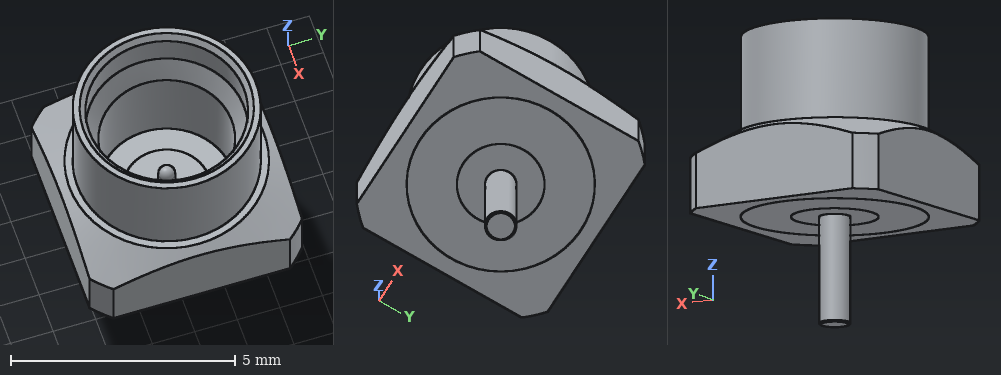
import cadquery as cq

overall_height = 6.55
base_bottom = 2.45
base_top = 4.26
corner_top = 3.715
socket_floor = base_bottom + 0.655

base_width = 5.0
base_corner_diameter = 6.5
base_land_diameter = 4.565

shell_diameter = 4.2
shell_clearance = 0.005
mouth_diameter = 3.89
mouth_chamfer_depth = 0.13
upper_bore_diameter = 3.63
lower_bore_diameter = 3.05
taper_start_depth = 0.885
taper_length = 0.46

insulator_diameter = 1.96
tail_diameter = 0.7
tail_chamfer = 0.03
contact_diameter = 0.38
contact_height = 0.785


def revolve_profile(profile):
    """Turn a closed radius-height profile around the Z axis."""
    return profile.close().revolve(360, (0, 0, 0), (0, 1, 0))


def cylinder(diameter, bottom, top):
    """Upright cylinder on the Z axis between two levels."""
    return cq.Workplane("XY").workplane(offset=bottom).circle(diameter / 2).extrude(top - bottom)


def make_base():
    """Square flange with rounded corners, a conical top and a clearance bore for the shell."""
    turned_blank = revolve_profile(
        cq.Workplane("XZ")
        .moveTo(0, base_bottom)
        .lineTo(base_corner_diameter / 2, base_bottom)
        .lineTo(base_corner_diameter / 2, corner_top)
        .lineTo(base_land_diameter / 2, base_top)
        .lineTo(0, base_top)
    )
    square = (
        cq.Workplane("XY")
        .workplane(offset=base_bottom)
        .rect(base_width, base_width)
        .extrude(base_top - base_bottom)
    )
    bore = cylinder(shell_diameter + shell_clearance, base_bottom, base_top)
    return turned_blank.intersect(square).cut(bore)


def make_socket():
    """Stepped bore with a chamfered mouth and a tapered step, as a cutting solid."""
    taper_top = overall_height - taper_start_depth
    return revolve_profile(
        cq.Workplane("XZ")
        .moveTo(0, overall_height)
        .lineTo(mouth_diameter / 2, overall_height)
        .lineTo(upper_bore_diameter / 2, overall_height - mouth_chamfer_depth)
        .lineTo(upper_bore_diameter / 2, taper_top)
        .lineTo(lower_bore_diameter / 2, taper_top - taper_length)
        .lineTo(lower_bore_diameter / 2, socket_floor)
        .lineTo(0, socket_floor)
    )


def make_shell():
    """Round cup standing in the base, with the socket and the insulator hole cut out."""
    blank = cylinder(shell_diameter, base_bottom, overall_height)
    insulator_hole = cylinder(insulator_diameter, base_bottom, socket_floor)
    return blank.cut(make_socket()).cut(insulator_hole)


def make_insulator():
    """Disc flush with the socket floor, bored for the thin part of the contact pin."""
    disc = cylinder(insulator_diameter, base_bottom, socket_floor)
    return disc.cut(cylinder(contact_diameter, base_bottom, socket_floor))


def make_pin():
    """Contact pin with a chamfered tail and a thin, round-nosed contact."""
    tail = cylinder(tail_diameter, 0, base_bottom).faces("<Z").chamfer(tail_chamfer)
    nose_radius = contact_diameter / 2
    contact_top = socket_floor + contact_height
    nose_center = contact_top - nose_radius
    contact = cylinder(contact_diameter, base_bottom, nose_center)
    nose = cq.Workplane("XY").sphere(nose_radius).translate((0, 0, nose_center))
    return tail.union(contact).union(nose)


base = make_base()
shell = make_shell()
insulator = make_insulator()
pin = make_pin()

result = cq.Compound.makeCompound([base.val(), shell.val(), insulator.val(), pin.val()])